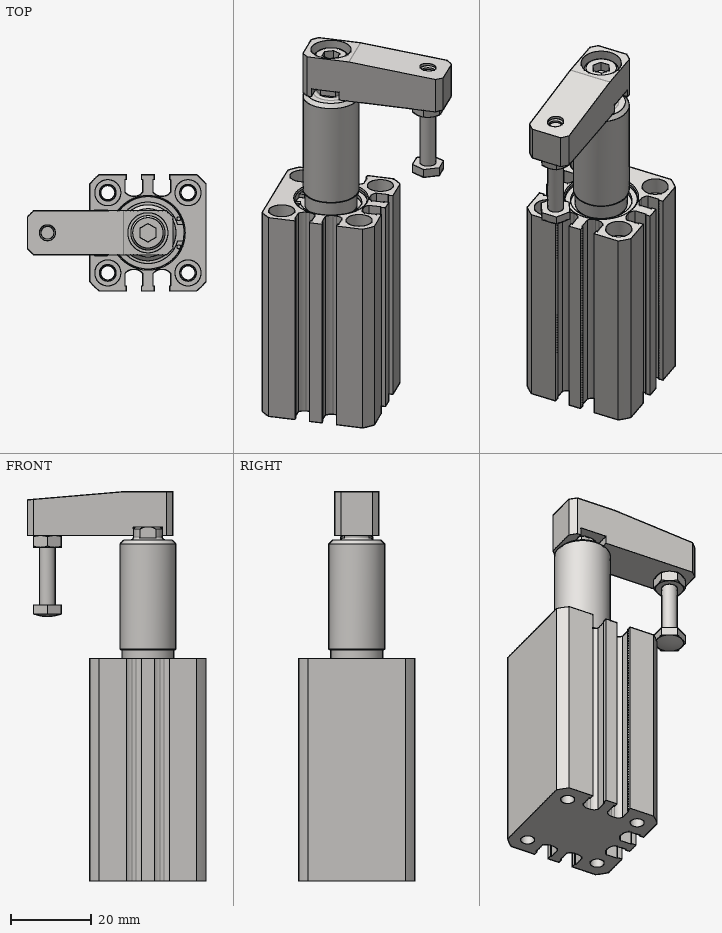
import cadquery as cq
import math


body_side = 29.0
body_height = 55.5
corner_radius = 18.9

slot_offset = 3.5
slot_mouth_width = 3.8
slot_width = 4.4
slot_lip = 1.3
slot_wall_depth = 4.4
slot_depth = 5.3
slot_floor_width = 1.0
slot_floor_bulge = 0.15

mount_spacing = 20.0
mount_hole_diameter = 3.5
mount_countersink_diameter = 4.2
counterbore_diameter = 6.5
counterbore_depth = 4.4

mouth_diameter = 18.0
mouth_chamfer = 0.3
ring_inner_diameter = 15.3
ring_recess = 1.0
ring_thickness = 1.0
ring_gap = 4.1
ear_hole_diameter = 1.0
ear_hole_radius = 8.4
ear_hole_angle = 24.5

rod_diameter = 13.0
rod_bottom = 9.7
collar_diameter = 14.0
collar_bottom = 57.5
collar_top = 85.0
collar_top_chamfer = 1.0
collar_bottom_chamfer = 0.3
neck_diameter = 7.2
neck_fillet = 0.8
neck_top = 88.2
neck_chamfer = 0.5
neck_flat_distance = 6.0
neck_flat_bottom = 85.5

screw_diameter = 5.0
screw_head_diameter = 8.5
screw_head_height = 5.0
screw_head_chamfer = 0.5
screw_head_recess = 1.5
hex_socket_width = 4.0
hex_socket_depth = 2.4

arm_top = 97.0
arm_bottom = 86.0
arm_width = 11.1
overall_length = 44.5
arm_left = 0.5 * body_side - overall_length
arm_right = 6.2
arm_chamfer = 1.6
slope_start = -6.1
slope_drop = 2.0
arm_bore_diameter = 10.0
arm_hole_diameter = 5.5

bolt_x = -25.0
bolt_diameter = 4.0
bolt_tip_diameter = 3.2
bolt_tip_recess = 1.5
bolt_counterbore_depth = 0.6
hex_width = 7.0
nut_height = 2.9
nut_chamfer_height = 0.3
bolt_head_top = 68.8
bolt_head_height = 2.2
bolt_dome_height = 0.7

half_side = 0.5 * body_side
body_top = body_height
ring_top = body_top - ring_recess
ring_bottom = ring_top - ring_thickness
screw_head_top = arm_top - screw_head_recess
screw_head_bottom = screw_head_top - screw_head_height
slope_rate = slope_drop / (slope_start - arm_left)
bolt_surface = arm_top - slope_rate * (slope_start - bolt_x)
bolt_top = bolt_surface - bolt_tip_recess


def cylinder(diameter, bottom, top):
    """Upright cylinder on the rod axis."""
    return cq.Workplane("XY").workplane(offset=bottom).circle(0.5 * diameter).extrude(top - bottom)


def countersunk_cylinder(diameter, tip_diameter, bottom, top):
    """Upright cylinder whose lower end tapers at 45 degrees, below the given bottom, to the tip diameter."""
    taper = 0.5 * (diameter - tip_diameter)
    cone = cq.Workplane("XY").add(cq.Solid.makeCone(0.5 * tip_diameter, 0.5 * diameter, taper))
    return cylinder(diameter, bottom, top).union(cone.translate((0, 0, bottom - taper)))


def hex_prism(width, bottom, top):
    """Upright hexagon of the given width across flats, with two flats facing +X and -X."""
    corner_diameter = width / math.cos(math.pi / 6)
    prism = cq.Workplane("XY").workplane(offset=bottom).polygon(6, corner_diameter).extrude(top - bottom)
    return prism.rotate((0, 0, 0), (0, 0, 1), 30)


def make_slot():
    """Slot cutter for the -Y side, centred on X = 0: narrow mouth, wider channel, hollowed floor."""
    half_mouth = 0.5 * slot_mouth_width
    half_channel = 0.5 * slot_width
    half_floor = 0.5 * slot_floor_width
    face = -half_side
    lip_end = face + slot_lip
    wall_end = face + slot_wall_depth
    floor = face + slot_depth
    arc_x = 0.5 * (half_channel + half_floor) + slot_floor_bulge
    arc_y = 0.5 * (wall_end + floor) + slot_floor_bulge
    return (
        cq.Workplane("XY")
        .moveTo(-half_mouth, face)
        .lineTo(half_mouth, face)
        .lineTo(half_mouth, lip_end)
        .lineTo(half_channel, lip_end)
        .lineTo(half_channel, wall_end)
        .threePointArc((arc_x, arc_y), (half_floor, floor))
        .lineTo(-half_floor, floor)
        .threePointArc((-arc_x, arc_y), (-half_channel, wall_end))
        .lineTo(-half_channel, lip_end)
        .lineTo(-half_mouth, lip_end)
        .close()
        .extrude(body_height)
    )


def cut_slots(housing):
    """A pair of slots on the -Y, -X and +Y sides."""
    slot = make_slot()
    for turn in (0, -90, 180):
        for offset in (-slot_offset, slot_offset):
            placed = slot.translate((offset, 0, 0)).rotate((0, 0, 0), (0, 0, 1), turn)
            housing = housing.cut(placed)
    return housing


def cut_mounting_holes(housing):
    """Counterbored through holes in the four corners."""
    counterbore_floor = body_top - counterbore_depth
    cutter = (
        cylinder(mount_hole_diameter, 0, body_top)
        .union(countersunk_cylinder(
            mount_countersink_diameter, mount_hole_diameter, counterbore_floor, body_top))
        .union(cylinder(counterbore_diameter, counterbore_floor, body_top))
    )
    half_spacing = 0.5 * mount_spacing
    for x in (-half_spacing, half_spacing):
        for y in (-half_spacing, half_spacing):
            housing = housing.cut(cutter.translate((x, y, 0)))
    return housing


def cut_bore(housing):
    """Bore for the rod, with the recessed retaining ring left standing in its mouth."""
    mouth = cylinder(mouth_diameter, ring_top, body_top)
    rim_radius = 0.5 * mouth_diameter + mouth_chamfer
    rim = cq.Workplane("XY").add(cq.Solid.makeCone(0.5 * mouth_diameter, rim_radius, mouth_chamfer))
    rim = rim.translate((0, 0, body_top - mouth_chamfer))
    gap = cylinder(mouth_diameter, ring_bottom, ring_top).intersect(
        cq.Workplane("XY").box(body_side, ring_gap, 2 * body_height).translate((half_side, 0, 0))
    )
    housing = housing.cut(cylinder(rod_diameter, rod_bottom, body_top))
    housing = housing.cut(cylinder(ring_inner_diameter, ring_bottom, body_top))
    housing = housing.cut(mouth).cut(rim).cut(gap)
    for angle in (-ear_hole_angle, ear_hole_angle):
        x = ear_hole_radius * math.cos(math.radians(angle))
        y = ear_hole_radius * math.sin(math.radians(angle))
        housing = housing.cut(cylinder(ear_hole_diameter, ring_bottom, ring_top).translate((x, y, 0)))
    return housing


def make_housing():
    """Square block with turned corners, side slots, mounting holes and the rod's bore."""
    block = cq.Workplane("XY").rect(body_side, body_side).extrude(body_height)
    block = block.intersect(cylinder(2 * corner_radius, 0, body_height))
    return cut_bore(cut_mounting_holes(cut_slots(block)))


def make_neck():
    """Rod end with a filleted base and two wrench flats facing +Y and -Y."""
    neck_radius = 0.5 * neck_diameter
    fillet_x = neck_radius + neck_fillet
    fillet_z = collar_top + neck_fillet
    fillet_reach = neck_fillet * math.sqrt(0.5)
    neck = (
        cq.Workplane("XZ")
        .moveTo(0, collar_top)
        .lineTo(fillet_x, collar_top)
        .threePointArc((fillet_x - fillet_reach, fillet_z - fillet_reach), (neck_radius, fillet_z))
        .lineTo(neck_radius, neck_top - neck_chamfer)
        .lineTo(neck_radius - neck_chamfer, neck_top)
        .lineTo(0, neck_top)
        .close()
        .revolve(360, (0, 0, 0), (0, 1, 0))
    )
    flats = cq.Workplane("XY").rect(body_side, neck_flat_distance).extrude(neck_top)
    base = cylinder(body_side, collar_top, neck_flat_bottom)
    return neck.intersect(flats.union(base))


def make_screw():
    """Shank and socket head standing on the rod's neck."""
    head = cylinder(screw_head_diameter, screw_head_bottom, screw_head_top)
    head = head.faces(">Z").chamfer(screw_head_chamfer)
    socket = hex_prism(hex_socket_width, screw_head_top - hex_socket_depth, screw_head_top)
    return cylinder(screw_diameter, neck_top, screw_head_bottom).union(head).cut(socket)


def make_rod():
    """Piston rod with its collar, neck and end screw as one piece."""
    collar = (
        cylinder(collar_diameter, collar_bottom, collar_top)
        .faces(">Z").chamfer(collar_top_chamfer)
        .faces("<Z").chamfer(collar_bottom_chamfer)
    )
    shaft = cylinder(rod_diameter, rod_bottom, collar_bottom)
    return shaft.union(collar).union(make_neck()).union(make_screw())


def make_arm():
    """Tapering arm with a screw seat, a cross slot over the rod's neck and a hole for the bolt."""
    arm = (
        cq.Workplane("XZ")
        .moveTo(arm_left, arm_bottom)
        .lineTo(arm_right, arm_bottom)
        .lineTo(arm_right, arm_top)
        .lineTo(slope_start, arm_top)
        .lineTo(arm_left, arm_top - slope_drop)
        .close()
        .extrude(0.5 * arm_width, both=True)
    )
    plan = (
        cq.Workplane("XY")
        .rect(arm_right - arm_left, arm_width)
        .extrude(arm_top)
        .edges("|Z").chamfer(arm_chamfer)
        .translate((0.5 * (arm_left + arm_right), 0, 0))
    )
    arm = arm.intersect(plan)
    arm = arm.cut(cylinder(arm_bore_diameter, screw_head_bottom, arm_top))
    arm = arm.cut(cylinder(arm_hole_diameter, arm_bottom, arm_top))
    arm = arm.cut(cq.Workplane("XY").rect(neck_diameter, body_side).extrude(neck_top))

    cone_top = bolt_surface - bolt_counterbore_depth
    bolt_hole = cylinder(bolt_tip_diameter, arm_bottom, cone_top).union(
        countersunk_cylinder(bolt_diameter, bolt_tip_diameter, cone_top, arm_top)
    )
    return arm.cut(bolt_hole.translate((bolt_x, 0, 0)))


def make_nut():
    """Lock nut against the arm, with the hexagon's corners chamfered at both ends."""
    bottom = arm_bottom - nut_height
    corner_diameter = hex_width / math.cos(math.pi / 6)
    corner_depth = 0.5 * (corner_diameter - hex_width)
    envelope = cylinder(corner_diameter, bottom, arm_bottom)
    envelope = envelope.faces("<Z or >Z").chamfer(nut_chamfer_height, corner_depth)
    return hex_prism(hex_width, bottom, arm_bottom).intersect(envelope)


def make_bolt_dome():
    """Spherical cap under the bolt's head, as wide as the head is across flats."""
    head_bottom = bolt_head_top - bolt_head_height
    base_radius = 0.5 * hex_width
    dome_radius = (base_radius ** 2 + bolt_dome_height ** 2) / (2 * bolt_dome_height)
    ball_centre = head_bottom - bolt_dome_height + dome_radius
    ball = cq.Workplane("XY").sphere(dome_radius).translate((0, 0, ball_centre))
    return ball.intersect(cylinder(hex_width, head_bottom - bolt_dome_height, head_bottom))


def make_bolt():
    """Clamping bolt with a domed hexagon head and a lock nut fixed on its shank."""
    head = hex_prism(hex_width, bolt_head_top - bolt_head_height, bolt_head_top)
    shank = cylinder(bolt_diameter, bolt_head_top, arm_bottom)
    tip = cylinder(bolt_tip_diameter, arm_bottom, bolt_top)
    bolt = head.union(make_bolt_dome()).union(shank).union(make_nut()).union(tip)
    return bolt.translate((bolt_x, 0, 0))


housing = make_housing()
rod = make_rod()
arm = make_arm()
bolt = make_bolt()

bodies = [body.solids().val() for body in (housing, rod, arm, bolt)]

result = cq.Compound.makeCompound(bodies)